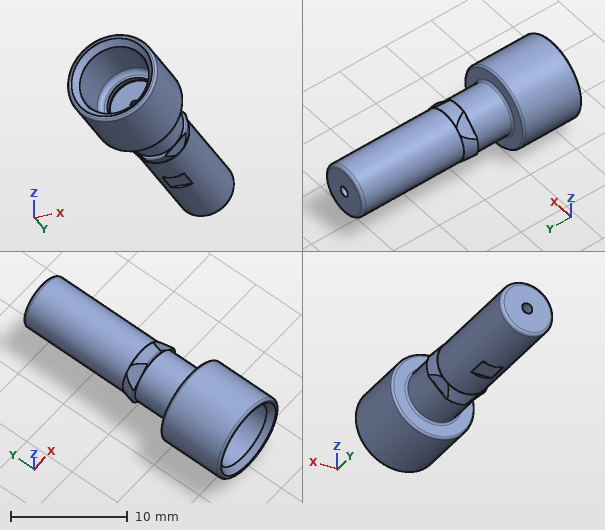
import cadquery as cq

total_length = 22.8

collar_radius = 4.1
collar_length = 6.4
collar_fillet = 0.2

shaft_radius = 2.6
shaft_end_fillet = 0.3
root_fillet = 0.2

barb_front_radius = 2.95
barb_back_radius = 2.63
barb_front = 10.4
barb_length = 1.37
barb_edge_fillet = 0.1
flat_distance = 2.61
first_flat_angle = 45.0

mouth_radius = 3.7
mouth_depth = 0.57
socket_radius = 3.17
socket_depth = 5.2
socket_floor_fillet = 0.48
recess_radius = 2.4
recess_depth = 5.7
recess_floor_chamfer = 0.05
bore_radius = 0.5

notch_front = 14.8
notch_length = 2.0
notch_depth = 0.2


def revolve_about_y(profile):
    """Turn a closed XY half-profile a full turn about the Y axis."""
    return profile.revolve(360, (0, 0, 0), (0, 1, 0))


def make_body():
    """Collar and shaft with rounded edges and a fillet where they meet."""
    root_radius = shaft_radius + root_fillet
    collar_face_radius = collar_radius - collar_fillet
    profile = (
        cq.Workplane("XY")
        .lineTo(collar_face_radius, 0)
        .radiusArc((collar_radius, collar_fillet), -collar_fillet)
        .lineTo(collar_radius, collar_length - collar_fillet)
        .radiusArc((collar_face_radius, collar_length), -collar_fillet)
        .lineTo(root_radius, collar_length)
        .radiusArc((shaft_radius, collar_length + root_fillet), root_fillet)
        .lineTo(shaft_radius, total_length - shaft_end_fillet)
        .radiusArc((shaft_radius - shaft_end_fillet, total_length), -shaft_end_fillet)
        .lineTo(0, total_length)
        .close()
    )
    return revolve_about_y(profile)


def make_barb():
    """Tapered ring with four equal flats parallel to the Y axis."""
    barb_back = barb_front + barb_length
    ring = revolve_about_y(
        cq.Workplane("XY")
        .moveTo(0, barb_front)
        .lineTo(barb_front_radius, barb_front)
        .lineTo(barb_back_radius, barb_back)
        .lineTo(0, barb_back)
        .close()
    )
    ring = ring.faces("<Y").edges().fillet(barb_edge_fillet)
    square_bar = (
        cq.Workplane("XZ", origin=(0, barb_front, 0))
        .transformed(rotate=(0, 0, first_flat_angle))
        .rect(2 * flat_distance, 2 * flat_distance)
        .extrude(-barb_length)
    )
    return ring.intersect(square_bar)


def make_socket():
    """Conical mouth, socket with a rounded floor, shallow recess and through bore."""
    fillet_end_radius = socket_radius - socket_floor_fillet
    profile = (
        cq.Workplane("XY")
        .lineTo(mouth_radius, 0)
        .lineTo(socket_radius, mouth_depth)
        .lineTo(socket_radius, socket_depth - socket_floor_fillet)
        .radiusArc((fillet_end_radius, socket_depth), -socket_floor_fillet)
        .lineTo(recess_radius, socket_depth)
        .lineTo(recess_radius, recess_depth - recess_floor_chamfer)
        .lineTo(recess_radius - recess_floor_chamfer, recess_depth)
        .lineTo(bore_radius, recess_depth)
        .lineTo(bore_radius, total_length)
        .lineTo(0, total_length)
        .close()
    )
    return revolve_about_y(profile)


def make_notch():
    """Block that cuts the shallow notch, with its floor parallel to the XY plane."""
    floor_z = notch_depth - shaft_radius
    return (
        cq.Workplane("XY", origin=(0, notch_front, floor_z))
        .rect(2 * shaft_radius, notch_length)
        .extrude(-2 * notch_depth)
        .translate((0, notch_length / 2, 0))
    )


result = make_body().union(make_barb()).cut(make_socket()).cut(make_notch())